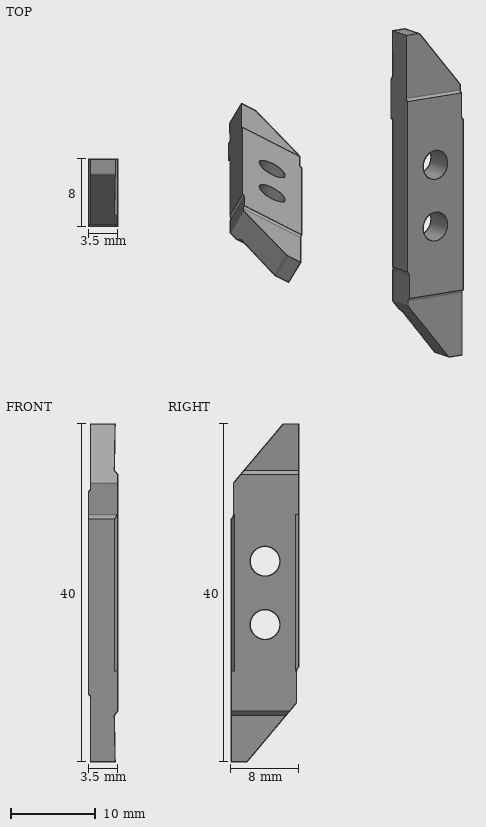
import cadquery as cq
import math

THICKNESS = 3.5
WIDTH = 8.0
LENGTH = 40.0
HALF_WIDTH = WIDTH / 2
HALF_LENGTH = LENGTH / 2

TIP_WIDTH = 1.87
SLOPE_ANGLE = 40.0
TIP_CORNER_RADIUS = 0.25
FOOT_CORNER_RADIUS = 0.15

INSET = 0.25
INSET_END_Z = 9.25
INSET_RAMP_LENGTH = 0.5
INSET_RAMP_RADIUS = 0.65

END_THICKNESS = 2.95
BACK_STEP = 0.25
BACK_STEP_Z = 12.0
BACK_STEP_RADIUS = 0.35
TIP_FRONT_X = BACK_STEP + END_THICKNESS
RELIEF_FRONT_X = 3.1
RAMP_FOOT_Z = 14.5
RAMP_TOP_Z = 14.0

BEVEL = 0.4

HOLE_DIAMETER = 3.5
HOLE_SPACING = 7.5


def round_corner(body, y, z, radius):
    """Fillet the edge that runs along X through (y, z)."""
    middle = (THICKNESS / 2, y, z)
    return body.edges(cq.selectors.NearestToPointSelector(middle)).fillet(radius)


def side_outline():
    """Outline in the YZ plane, extruded through the full thickness."""
    tip_y = HALF_WIDTH - TIP_WIDTH
    inset_y = INSET - HALF_WIDTH
    slope_length = (tip_y - inset_y) / math.tan(math.radians(SLOPE_ANGLE))
    foot_z = HALF_LENGTH - slope_length
    inset_ramp_z = INSET_END_Z - INSET_RAMP_LENGTH
    outline = cq.Workplane("YZ").moveTo(HALF_WIDTH, -inset_ramp_z)
    for turn in (1, -1):
        outline = (
            outline
            .lineTo(turn * HALF_WIDTH, turn * HALF_LENGTH)
            .lineTo(turn * tip_y, turn * HALF_LENGTH)
            .lineTo(turn * inset_y, turn * foot_z)
            .lineTo(turn * inset_y, turn * INSET_END_Z)
            .radiusArc((-turn * HALF_WIDTH, turn * inset_ramp_z), INSET_RAMP_RADIUS)
        )
    body = outline.close().extrude(THICKNESS)
    for turn in (1, -1):
        body = round_corner(body, turn * tip_y, turn * HALF_LENGTH, TIP_CORNER_RADIUS)
        body = round_corner(body, turn * inset_y, turn * foot_z, FOOT_CORNER_RADIUS)
    return body


def thickness_profile():
    """Thickness profile in the XZ plane, swept across the width and mirrored about Z = 0."""
    arc_end_z = BACK_STEP_Z + BACK_STEP_RADIUS
    profile = (
        cq.Workplane("XZ")
        .moveTo(0, 0)
        .lineTo(0, BACK_STEP_Z)
        .radiusArc((BACK_STEP, arc_end_z), -BACK_STEP_RADIUS)
        .lineTo(BACK_STEP, HALF_LENGTH)
        .lineTo(TIP_FRONT_X, HALF_LENGTH)
        .lineTo(RELIEF_FRONT_X, RAMP_FOOT_Z)
        .lineTo(THICKNESS, RAMP_TOP_Z)
        .lineTo(THICKNESS, 0)
        .close()
    )
    upper = profile.extrude(HALF_WIDTH, both=True)
    return upper.union(upper.mirror("XY"))


def edge_bevel():
    """Bevel cutter for the edge between the +X and -Y faces."""
    return (
        cq.Workplane("XY", origin=(0, 0, -INSET_END_Z))
        .moveTo(THICKNESS, -HALF_WIDTH)
        .lineTo(THICKNESS - BEVEL, -HALF_WIDTH)
        .lineTo(THICKNESS, BEVEL - HALF_WIDTH)
        .close()
        .extrude(2 * INSET_END_Z)
    )


def holes():
    """Two hole cutters on the part's centreline."""
    centres = [(0, -HOLE_SPACING / 2), (0, HOLE_SPACING / 2)]
    return cq.Workplane("YZ").pushPoints(centres).circle(HOLE_DIAMETER / 2).extrude(THICKNESS)


result = side_outline().intersect(thickness_profile())
for turn in (0, 180):
    result = result.cut(edge_bevel().rotate((0, 0, 0), (1, 0, 0), turn))
result = result.cut(holes())